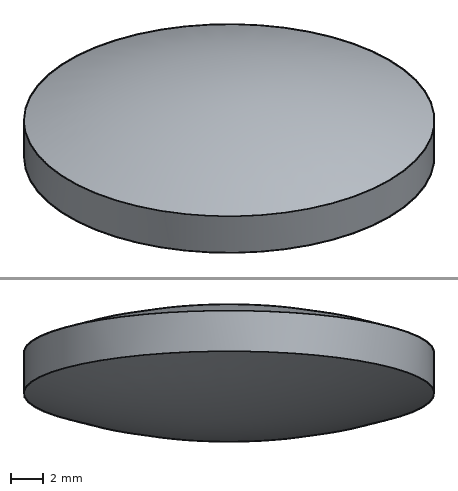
import cadquery as cq

diameter = 25.4
center_thickness = 7.1
rim_thickness = 2.57

radius = diameter / 2
half_center = center_thickness / 2
half_rim = rim_thickness / 2

cap_height = half_center - half_rim
sphere_radius = (radius**2 + cap_height**2) / (2 * cap_height)


def lens_blank():
    """Cylinder that sets the rim, tall enough to hold both caps."""
    return cq.Workplane("XY").cylinder(center_thickness, radius)


def cap_sphere(side):
    """Sphere whose apex is the lens apex on the given side (+1 top, -1 bottom)."""
    center_z = side * (half_center - sphere_radius)
    return cq.Workplane("XY").sphere(sphere_radius).translate((0, 0, center_z))


result = lens_blank()
for side in (1, -1):
    result = result.intersect(cap_sphere(side))